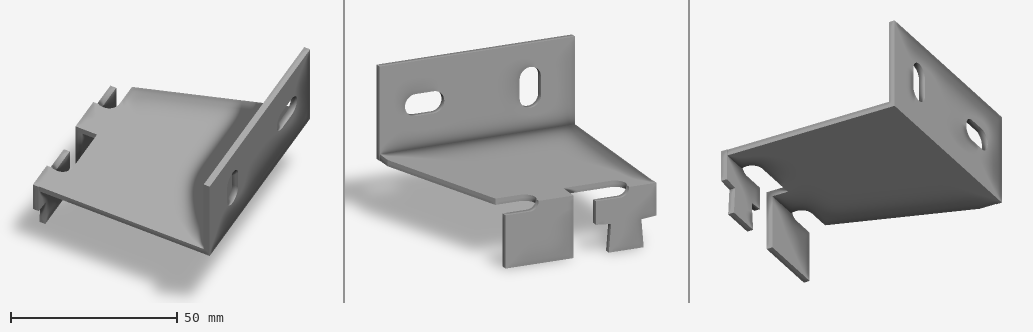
import cadquery as cq

LENGTH_X = 60.0
WIDTH_Y = 65.0
THICKNESS = 2.0
FLANGE_HEIGHT = 28.0
HOOK_DEPTH = 19.95
SIDE_STEP = 0.2

SLOT_LENGTH = 13.0
SLOT_WIDTH = 7.0
SLOT_HEIGHT = 14.0
FLAT_SLOT_Y = 50.0
UPRIGHT_SLOT_Y = 15.0

WEB_EDGE_X = 7.35
SLOPE_END_X = 52.5

WIDE_HOOK_START = 27.5
WIDE_HOOK_END = 50.0
NARROW_HOOK_END = 20.0
HOOK_TOP_DROP = 3.0
RELIEF_LENGTH = 8.0
RELIEF_RADIUS = 3.5
RELIEF_CORNER_OFFSET = HOOK_TOP_DROP

SHOULDER_DROP = 10.45
SHOULDER_SLANT = 0.45
SHOULDER_WIDTH = 5.0
TONGUE_FLARE = 0.8


def make_flange():
    plate = cq.Workplane("XY").box(
        THICKNESS, WIDTH_Y - SIDE_STEP, FLANGE_HEIGHT + THICKNESS, centered=False
    ).translate((LENGTH_X - THICKNESS, SIDE_STEP, -THICKNESS))
    for slot_y, angle in ((FLAT_SLOT_Y, 0), (UPRIGHT_SLOT_Y, 90)):
        cutter = (
            cq.Workplane("YZ", origin=(LENGTH_X - THICKNESS, 0, 0))
            .center(slot_y, SLOT_HEIGHT)
            .slot2D(SLOT_LENGTH, SLOT_WIDTH, angle)
            .extrude(THICKNESS)
        )
        plate = plate.cut(cutter)
    return plate


def add_web_relief(outline, hook_end):
    """Continue from the bend corner around the relief to its straight web edge."""
    round_y = hook_end - RELIEF_LENGTH
    centre_x = WEB_EDGE_X - RELIEF_RADIUS
    return (
        outline.lineTo(0, round_y - RELIEF_CORNER_OFFSET)
        .lineTo(centre_x, round_y - RELIEF_RADIUS)
        .radiusArc((WEB_EDGE_X, round_y), -RELIEF_RADIUS)
    )


def make_web():
    outline = cq.Workplane("XY").moveTo(0, SIDE_STEP)
    outline = add_web_relief(outline, NARROW_HOOK_END)
    outline = outline.lineTo(WEB_EDGE_X, WIDE_HOOK_START).lineTo(0, WIDE_HOOK_START)
    outline = add_web_relief(outline, WIDE_HOOK_END)
    return (
        outline.lineTo(WEB_EDGE_X, WIDE_HOOK_END)
        .lineTo(SLOPE_END_X, WIDTH_Y - SIDE_STEP)
        .lineTo(LENGTH_X, WIDTH_Y - SIDE_STEP)
        .lineTo(LENGTH_X, SIDE_STEP)
        .close()
        .extrude(-THICKNESS)
    )


def start_hook(hook_start, hook_end):
    """Draw the upper edge of a hook, from its starting side to its free end."""
    round_y = hook_end - RELIEF_LENGTH
    return (
        cq.Workplane("YZ")
        .moveTo(hook_start, 0)
        .lineTo(round_y - RELIEF_CORNER_OFFSET, 0)
        .radiusArc((round_y, -HOOK_TOP_DROP), -HOOK_TOP_DROP)
        .lineTo(hook_end, -HOOK_TOP_DROP)
    )


def make_wide_hook():
    return (
        start_hook(WIDE_HOOK_START, WIDE_HOOK_END)
        .lineTo(WIDE_HOOK_END, -HOOK_DEPTH)
        .lineTo(WIDE_HOOK_START, -HOOK_DEPTH)
        .close()
        .extrude(THICKNESS)
    )


def make_narrow_hook():
    neck_z = -SHOULDER_DROP - SHOULDER_SLANT
    neck_start = SHOULDER_WIDTH
    neck_end = NARROW_HOOK_END - SHOULDER_WIDTH
    return (
        start_hook(0, NARROW_HOOK_END)
        .lineTo(NARROW_HOOK_END, -SHOULDER_DROP)
        .lineTo(neck_end, neck_z)
        .lineTo(neck_end + TONGUE_FLARE, -HOOK_DEPTH)
        .lineTo(neck_start - TONGUE_FLARE, -HOOK_DEPTH)
        .lineTo(neck_start, neck_z)
        .lineTo(0, -SHOULDER_DROP)
        .close()
        .extrude(THICKNESS)
    )


result = make_web().union(make_flange()).union(make_wide_hook()).union(make_narrow_hook())